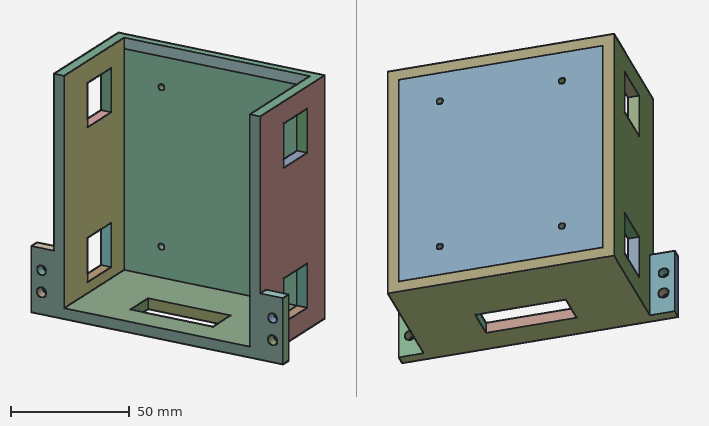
import cadquery as cq

HOUSING_WIDTH = 100.0
HOUSING_DEPTH = 55.0
HOUSING_HEIGHT = 110.0
SIDE_WALL = 5.0
BACK_WALL = 4.0
FLOOR = 5.0
INNER_WIDTH = HOUSING_WIDTH - 2 * SIDE_WALL
INNER_BACK_Y = HOUSING_DEPTH - BACK_WALL

OVERALL_WIDTH = 122.0
EAR_THICKNESS = 5.0
EAR_HEIGHT = 30.0
LOWER_EAR_HOLE_DIAMETER = 4.5
UPPER_EAR_HOLE_DIAMETER = 4.3
EAR_HOLE_EDGE_DISTANCE = 5.0
LOWER_EAR_HOLE_Z = 10.0
UPPER_EAR_HOLE_Z = 20.0

WINDOW_SIZE = 20.0
WINDOW_CENTRE_Y = 30.0
WINDOW_CENTRE_HEIGHTS = (20.0, 90.0)

FLOOR_OPENING_WIDTH = 40.0
FLOOR_OPENING_DEPTH = 15.0
FLOOR_OPENING_CENTRE_Y = 20.0

PANEL_HEIGHT = 100.0
PANEL_THICKNESS = BACK_WALL
PANEL_HOLE_DIAMETER = 2.8
PANEL_HOLE_SPACING_X = 54.0
PANEL_HOLE_SPACING_Z = 72.0
PANEL_HOLE_CENTRE_Z = 55.0


def block(width, depth, height, centre_x, front_y, bottom_z):
    """Box centred on centre_x, starting at front_y and bottom_z."""
    return (
        cq.Workplane("XY")
        .box(width, depth, height, centered=(True, False, False))
        .translate((centre_x, front_y, bottom_z))
    )


def holes_along_y(points, diameter, start_y, depth):
    """Cylinders running in +Y from start_y at the given (x, z) points."""
    return (
        cq.Workplane("XZ", origin=(0, start_y, 0))
        .pushPoints(points)
        .circle(diameter / 2)
        .extrude(-depth)
    )


def make_panel_blank():
    """Panel without holes, also the shape of its opening in the back wall."""
    return block(INNER_WIDTH, PANEL_THICKNESS, PANEL_HEIGHT, 0, INNER_BACK_Y, FLOOR)


def make_housing():
    shell = block(HOUSING_WIDTH, HOUSING_DEPTH, HOUSING_HEIGHT, 0, 0, 0)
    cavity = block(INNER_WIDTH, INNER_BACK_Y, HOUSING_HEIGHT - FLOOR, 0, 0, FLOOR)
    ears = block(OVERALL_WIDTH, EAR_THICKNESS, EAR_HEIGHT, 0, 0, 0)
    housing = shell.union(ears).cut(cavity)

    ear_hole_x = OVERALL_WIDTH / 2 - EAR_HOLE_EDGE_DISTANCE
    for hole_z, diameter in (
        (LOWER_EAR_HOLE_Z, LOWER_EAR_HOLE_DIAMETER),
        (UPPER_EAR_HOLE_Z, UPPER_EAR_HOLE_DIAMETER),
    ):
        hole_points = [(-ear_hole_x, hole_z), (ear_hole_x, hole_z)]
        housing = housing.cut(holes_along_y(hole_points, diameter, 0, EAR_THICKNESS))

    for centre_z in WINDOW_CENTRE_HEIGHTS:
        window_front = WINDOW_CENTRE_Y - WINDOW_SIZE / 2
        window_bottom = centre_z - WINDOW_SIZE / 2
        housing = housing.cut(
            block(HOUSING_WIDTH, WINDOW_SIZE, WINDOW_SIZE, 0, window_front, window_bottom)
        )

    opening_front = FLOOR_OPENING_CENTRE_Y - FLOOR_OPENING_DEPTH / 2
    housing = housing.cut(
        block(FLOOR_OPENING_WIDTH, FLOOR_OPENING_DEPTH, FLOOR, 0, opening_front, 0)
    )
    return housing.cut(make_panel_blank())


def make_back_panel():
    hole_points = [
        (side_x * PANEL_HOLE_SPACING_X / 2, PANEL_HOLE_CENTRE_Z + side_z * PANEL_HOLE_SPACING_Z / 2)
        for side_x in (-1, 1)
        for side_z in (-1, 1)
    ]
    holes = holes_along_y(hole_points, PANEL_HOLE_DIAMETER, INNER_BACK_Y, PANEL_THICKNESS)
    return make_panel_blank().cut(holes)


housing = make_housing()
back_panel = make_back_panel()

result = cq.Compound.makeCompound([housing.val(), back_panel.val()])